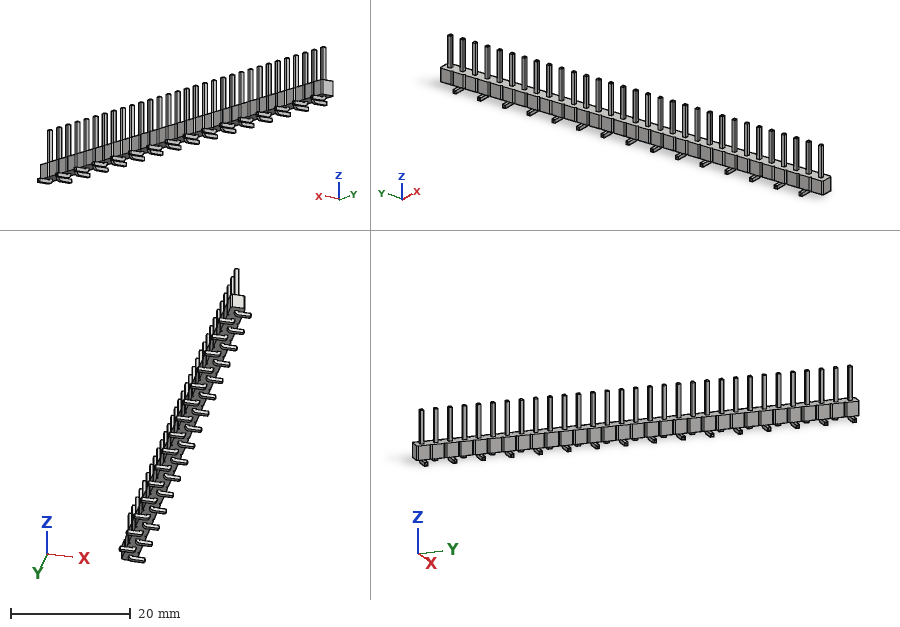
import cadquery as cq

length = 78.75
pin_count = 31
pitch = length / pin_count

housing_width = 2.5
housing_height = 2.5
housing_bottom = 0.8
cell_chamfer = 0.25

pin_size = 0.6
pin_top = 9.3
leg_reach = 2.5
bend_radius = pin_size
tip_length = 0.15
tip_size = 0.3


def make_cell(y):
    """One housing block with chamfered vertical corners."""
    return (
        cq.Workplane("XY", origin=(0, y, housing_bottom))
        .rect(housing_width, pitch)
        .extrude(housing_height)
        .edges("|Z")
        .chamfer(cell_chamfer)
    )


def make_tip(base_plane):
    """Square taper from the full wire section down to the small flat."""
    return (
        cq.Workplane(base_plane)
        .rect(pin_size, pin_size)
        .workplane(offset=tip_length)
        .rect(tip_size, tip_size)
        .loft(ruled=True)
    )


def make_pin():
    """L-shaped square wire: post on the Z axis, leg along +X, both ends tapered."""
    half = pin_size / 2
    post_end = pin_top - tip_length
    leg_end = leg_reach - tip_length
    wire = (
        cq.Workplane("XZ")
        .moveTo(-half, post_end)
        .lineTo(-half, bend_radius)
        .radiusArc((-half + bend_radius, 0), -bend_radius)
        .lineTo(leg_end, 0)
        .lineTo(leg_end, pin_size)
        .lineTo(half, pin_size)
        .lineTo(half, post_end)
        .close()
        .extrude(half, both=True)
    )
    post_tip = make_tip(cq.Plane(origin=(0, 0, post_end)))
    leg_tip = make_tip(cq.Plane(origin=(leg_end, 0, half), xDir=(0, 1, 0), normal=(1, 0, 0)))
    return wire.union(post_tip).union(leg_tip)


right_pin = make_pin()
left_pin = right_pin.rotate((0, 0, 0), (0, 0, 1), 180)

cells = []
pins = []
for index in range(pin_count):
    y = (index - (pin_count - 1) / 2) * pitch
    pin = right_pin if index % 2 == 0 else left_pin
    cells.append(make_cell(y).val())
    pins.append(pin.translate((0, y, 0)).val())

housing = cells[0].fuse(*cells[1:]).clean()
header = housing.fuse(*pins).clean()
result = cq.Workplane(header.Solids()[0])